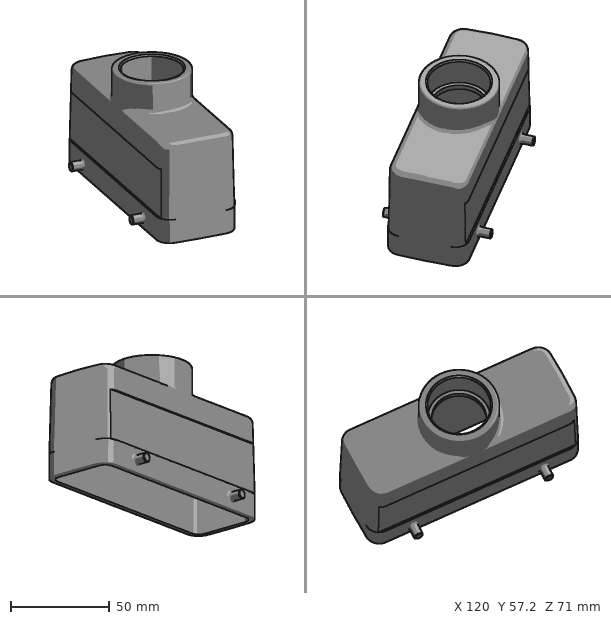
import cadquery as cq
import math

length = 120.0
width = 43.0
body_height = 55.0
corner_radius = 7.5
top_fillet = 3.1
bottom_fillet = 0.5

rim_height = 13.2
wall_draft = 1.1

parting_draft = 1.0

recess_top = 40.1
recess_depth = 1.0

entry_diameter = 41.0
entry_top = 71.0
entry_edge_fillet = 1.0
entry_root_fillet = 2.0

bore_diameter = 32.0
bore_mouth_chamfer = 0.8
bore_floor = 56.2
hole_diameter = 28.0

ceiling = 53.5
wall = 2.4

pin_diameter = 4.9
pin_span = 57.2
pin_spacing = 74.0
pin_height = 6.4
pin_root_fillet = 1.5
pin_end_chamfer = 0.4

draft_slope = math.tan(math.radians(wall_draft))

parting_slope = math.tan(math.radians(parting_draft))

tolerance = 0.01
nearly_vertical = 0.9


def wall_inset(height):
    return (height - rim_height) * draft_slope


def rim_outline(bottom):
    shoulder_x = length / 2 - width / 2 * parting_slope
    shoulder_y = width / 2
    points = [
        (length / 2, 0),
        (shoulder_x, shoulder_y),
        (-shoulder_x, shoulder_y),
        (-length / 2, 0),
        (-shoulder_x, -shoulder_y),
        (shoulder_x, -shoulder_y),
    ]
    return cq.Workplane("XY").workplane(offset=bottom).polyline(points).close()


def off_parting_plane(edges):
    return [edge for edge in edges if abs(edge.Center().y) > tolerance]


def round_corners(block):
    upright = [edge for edge in block.edges().vals() if abs(edge.tangentAt(0).z) > nearly_vertical]
    corners = off_parting_plane(upright)
    return block.newObject(corners).fillet(corner_radius)


def half_roof_envelope():
    eave = body_height - width / 2 * parting_slope
    profile = [
        (0, 0),
        (width / 2, 0),
        (width / 2, eave),
        (0, body_height),
    ]
    return cq.Workplane("YZ").polyline(profile).close().extrude(length / 2, both=True)


def is_entry_root(edge):
    on_tube = all(
        math.isclose(math.hypot(point.x, point.y), entry_diameter / 2, abs_tol=tolerance)
        for point in edge.positions([0.1, 0.5, 0.9])
    )
    return on_tube and edge.BoundingBox().zmax < body_height + tolerance


def add_half_cable_entry(half_body):
    tube_start = body_height - top_fillet
    tube = (
        cq.Workplane("XY")
        .workplane(offset=tube_start)
        .circle(entry_diameter / 2)
        .extrude(entry_top - tube_start)
        .faces(">Z")
        .edges()
        .fillet(entry_edge_fillet)
    )
    half_space = cq.Workplane("XY").box(length, width, entry_top, centered=(True, False, False))
    joined = half_body.union(tube.intersect(half_space))
    root_edges = [edge for edge in joined.edges("not |Z").vals() if is_entry_root(edge)]
    return joined.newObject(root_edges).fillet(entry_root_fillet)


def make_rim():
    rim = round_corners(rim_outline(0).extrude(rim_height))
    return rim.faces("<Z").edges().fillet(bottom_fillet)


def make_upper_body():
    block = rim_outline(rim_height).extrude(body_height - rim_height, taper=wall_draft)
    half = round_corners(block.intersect(half_roof_envelope()))
    roof = [face for face in half.faces().vals() if face.normalAt().z > nearly_vertical]
    roof_edges = off_parting_plane(half.newObject(roof).edges().vals())
    half = half.newObject(roof_edges).fillet(top_fillet)
    half = add_half_cable_entry(half)
    return half.union(half.mirror("XZ"))


def recess_cutter(side):
    face_bottom = width / 2 - recess_depth
    face_top = face_bottom - wall_inset(recess_top)
    profile = [
        (side * face_bottom, rim_height),
        (side * width, rim_height),
        (side * width, recess_top),
        (side * face_top, recess_top),
    ]
    return cq.Workplane("YZ").polyline(profile).close().extrude(length / 2, both=True)


def make_pin(x, side):
    tip = pin_span / 2
    rim_face = width / 2
    radius = pin_diameter / 2
    root_radius = radius + pin_root_fillet
    arc_offset = pin_root_fillet * (1 - math.sqrt(0.5))
    inner_end = rim_face - wall / 2
    profile = (
        cq.Workplane("XY")
        .moveTo(0, inner_end)
        .lineTo(root_radius, inner_end)
        .lineTo(root_radius, rim_face)
        .threePointArc((radius + arc_offset, rim_face + arc_offset), (radius, rim_face + pin_root_fillet))
        .lineTo(radius, tip - pin_end_chamfer)
        .lineTo(radius - pin_end_chamfer, tip)
        .lineTo(0, tip)
        .close()
    )
    pin = profile.revolve(360, (0, 0, 0), (0, 1, 0))
    if side < 0:
        pin = pin.mirror("XZ")
    return pin.translate((x, 0, pin_height))


def cavity_cutter():
    gap = 2 * (wall + wall_inset(ceiling))
    pocket = cq.Workplane("XY").rect(length - gap, width - gap).extrude(ceiling)
    return pocket.edges("|Z").fillet(corner_radius - wall)


def bore_cutter():
    hole_radius = hole_diameter / 2
    bore_radius = bore_diameter / 2
    mouth_radius = bore_radius + bore_mouth_chamfer
    profile = [
        (0, rim_height),
        (hole_radius, rim_height),
        (hole_radius, bore_floor),
        (bore_radius, bore_floor),
        (bore_radius, entry_top - bore_mouth_chamfer),
        (mouth_radius, entry_top),
        (0, entry_top),
    ]
    return cq.Workplane("XZ").polyline(profile).close().revolve(360, (0, 0, 0), (0, 1, 0))


result = make_rim().union(make_upper_body())
for wall_side in (-1, 1):
    result = result.cut(recess_cutter(wall_side))
    for pin_x in (-pin_spacing / 2, pin_spacing / 2):
        result = result.union(make_pin(pin_x, wall_side))
result = result.cut(cavity_cutter()).cut(bore_cutter())